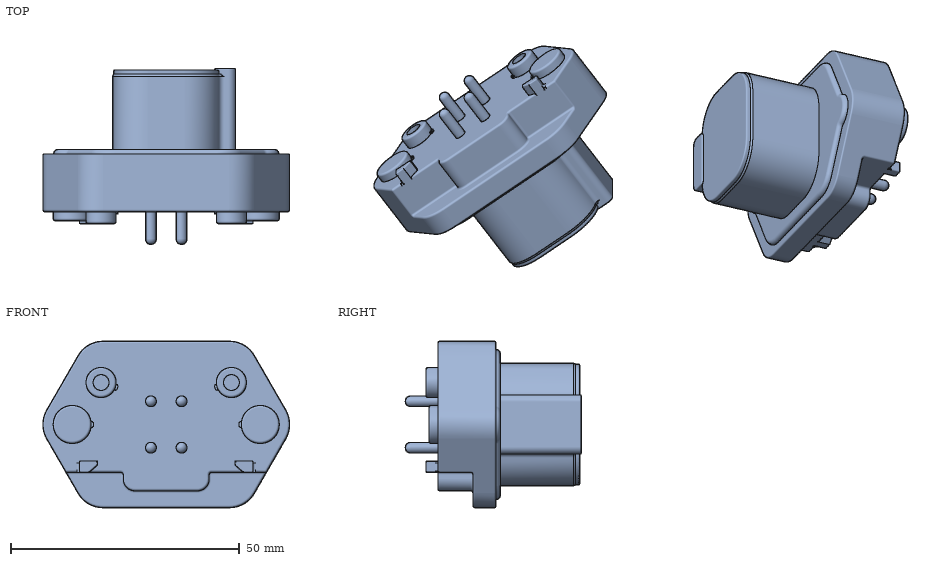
import cadquery as cq
import math

BODY_DEPTH = 12.7
FLANGE_FRONT = 7.7
LIP_BACK = 13.7
SHOULDER_START = 29.7
NECK_START = 30.2
NECK_BACK = 31.1
KEY_BACK = 31.45
OVERLAP = 0.55
SEARCH = 0.55

HEX_ANGLE = math.radians(60)
BODY_WIDTH = 54.1
BODY_HEIGHT = 36.5
BODY_CORNER = 6.35
FRONT_EDGE_RADIUS = 0.5
BACK_EDGE_RADIUS = 0.3

STEP_Z = -10.5
TONGUE_BOTTOM = -14.55
TONGUE_HALF_WIDTH = 9.4
TONGUE_CORNER = 2.6
STEP_CORNER = 0.55
STEP_FLOOR_RADIUS = 0.5

LIP_HEIGHT = 32.9
LIP_TIP = 24.1
LIP_CORNER = 5.75
LIP_LOBE_RADIUS = 4.05
LIP_BLEND = 1.35
LIP_EDGE_RADIUS = 0.9

SHELL_WIDTH = 23.55
SHELL_HEIGHT = 26.95
SHELL_CORNER = 7.7
NECK_INSET = 0.2
NECK_EDGE_RADIUS = 0.3
KEY_INNER_X = 10.6
KEY_OUTER_X = 15.2
KEY_HALF_HEIGHT = 6.5
KEY_OUTER_CORNER = 1.5
KEY_INNER_CORNER = 1.0
KEY_BLEND = 1.15
KEY_EDGE_RADIUS = 0.25

BIG_FOOT_X = 20.6
BIG_FOOT_RADIUS = 4.15
BIG_FOOT_HEIGHT = 1.95
SMALL_FOOT_X = 14.3
SMALL_FOOT_Z = 9.2
SMALL_FOOT_RADIUS = 3.3
SMALL_FOOT_HEIGHT = 2.6
SMALL_FOOT_TAB_ANGLE = -18.0
FOOT_EDGE_RADIUS = 0.5
BORE_RADIUS = 1.75
BORE_DEPTH = 1.45
TAB_WIDTH = 1.3
TAB_REACH = 0.5
TAB_HEIGHT = 0.45

PIN_X = 3.35
PIN_Z = 5.1
PIN_RADIUS = 1.2
PIN_LENGTH = 7.15

HOOK_OUTER_X = 19.05
HOOK_INNER_X = 15.05
HOOK_FOOT_X = 16.9
HOOK_TOP = -8.0
HOOK_NOSE_HEIGHT = 0.85
HOOK_LENGTH = 2.6
HOOK_EDGE = 0.25
HOOK_FLARE = 0.5


def plane_at(y):
    """Plane facing +Y, with local x along -X and local y along +Z."""
    return cq.Workplane("XZ", origin=(0, y, 0)).transformed(rotate=(0, 180, 0))


def both_sides(half):
    return half.union(half.mirror("YZ"))


def edge_zone(x, z, half_width=0.0, half_height=0.0):
    """Selector for what is centred close to (x, z), at any depth along Y."""
    reach_x = half_width + SEARCH
    reach_z = half_height + SEARCH
    corner = (x - reach_x, -BODY_WIDTH, z - reach_z)
    opposite = (x + reach_x, BODY_WIDTH, z + reach_z)
    return cq.selectors.BoxSelector(corner, opposite)


def hexagon(tip, height, corner, start, end):
    """Hexagonal prism whose four top and bottom corners are rounded."""
    z = height / 2
    x = tip - z / math.tan(HEX_ANGLE)
    points = [(tip, 0), (x, z), (-x, z), (-tip, 0), (-x, -z), (x, -z)]
    prism = plane_at(start).polyline(points).close().extrude(end - start)
    return prism.edges("|Y").edges(">Z or <Z").fillet(corner)


def make_step_cutter():
    """Space below the step, to the sides of and under the tongue."""
    half = TONGUE_HALF_WIDTH
    far = BODY_WIDTH
    points = [
        (-far, STEP_Z), (-half, STEP_Z), (-half, TONGUE_BOTTOM), (half, TONGUE_BOTTOM),
        (half, STEP_Z), (far, STEP_Z), (far, -far), (-far, -far),
    ]
    depth = FLANGE_FRONT + OVERLAP
    cutter = plane_at(-OVERLAP).polyline(points).close().extrude(depth)
    low = edge_zone(0, TONGUE_BOTTOM, half)
    high = edge_zone(0, STEP_Z, half)
    cutter = cutter.edges("|Y").edges(low).fillet(TONGUE_CORNER)
    cutter = cutter.edges("|Y").edges(high).fillet(STEP_CORNER)
    return cutter.faces(">Y").edges().fillet(STEP_FLOOR_RADIUS)


def make_body():
    rounding_loss = BODY_CORNER * (1 / math.sin(HEX_ANGLE) - 1)
    tip = BODY_WIDTH / 2 + rounding_loss
    body = hexagon(tip, BODY_HEIGHT, BODY_CORNER, 0, BODY_DEPTH)
    body = body.edges("|Y").edges(">X or <X").fillet(BODY_CORNER)
    body = body.faces(">Y").edges().fillet(BACK_EDGE_RADIUS)
    body = body.cut(make_step_cutter())
    flange_edge = body.faces("<Z").edges("<Y")
    return body.faces("<Y").edges().add(flange_edge).fillet(FRONT_EDGE_RADIUS)


def make_lip():
    start = BODY_DEPTH - OVERLAP
    lip = hexagon(LIP_TIP, LIP_HEIGHT, LIP_CORNER, start, LIP_BACK)
    lobes = plane_at(start).pushPoints([(-BIG_FOOT_X, 0), (BIG_FOOT_X, 0)])
    lip = lip.union(lobes.circle(LIP_LOBE_RADIUS).extrude(LIP_BACK - start))
    for x in (-BIG_FOOT_X, BIG_FOOT_X):
        lobe_joints = edge_zone(x, 0, LIP_LOBE_RADIUS / 2, LIP_LOBE_RADIUS)
        lip = lip.edges("|Y").edges(lobe_joints).fillet(LIP_BLEND)
    return lip.faces(">Y").edges().fillet(LIP_EDGE_RADIUS)


def make_key(back):
    """Key rib along the shell, from the body to the given Y level."""
    key = plane_at(BODY_DEPTH).center(-(KEY_INNER_X + KEY_OUTER_X) / 2, 0)
    key = key.rect(KEY_OUTER_X - KEY_INNER_X, 2 * KEY_HALF_HEIGHT).extrude(back - BODY_DEPTH)
    key = key.edges("|Y and >X").fillet(KEY_OUTER_CORNER)
    return key.edges("|Y and <X").fillet(KEY_INNER_CORNER)


def make_shell():
    shell = plane_at(BODY_DEPTH).rect(SHELL_WIDTH, SHELL_HEIGHT)
    shell = shell.extrude(SHOULDER_START - BODY_DEPTH).edges("|Y").fillet(SHELL_CORNER)
    keyed = shell.union(make_key(SHOULDER_START))
    key_joints = edge_zone(SHELL_WIDTH / 2, 0, half_height=KEY_HALF_HEIGHT)
    keyed = keyed.edges("|Y").edges(key_joints).fillet(KEY_BLEND)

    shoulder_rise = NECK_START - SHOULDER_START
    shoulder_slope = math.degrees(math.atan(NECK_INSET / shoulder_rise))
    shoulder = keyed.faces(">Y").wires().toPending().workplane()
    keyed = shoulder.extrude(shoulder_rise, taper=shoulder_slope)

    neck = plane_at(SHOULDER_START)
    neck = neck.rect(SHELL_WIDTH - 2 * NECK_INSET, SHELL_HEIGHT - 2 * NECK_INSET)
    neck = neck.extrude(NECK_BACK - SHOULDER_START).edges("|Y").fillet(SHELL_CORNER - NECK_INSET)
    neck = neck.faces(">Y").edges().fillet(NECK_EDGE_RADIUS)
    key = make_key(KEY_BACK).faces(">Y").edges().fillet(KEY_EDGE_RADIUS)
    return keyed.union(neck).union(key)


def make_foot(x, z, radius, height, tab_angle):
    """Round foot with a low locating tab on its rim."""
    foot = plane_at(-height).center(-x, z).circle(radius).extrude(height + OVERLAP)
    foot = foot.faces("<Y").edges().fillet(FOOT_EDGE_RADIUS)
    reach = radius + TAB_REACH
    tab = cq.Workplane().box(reach, TAB_HEIGHT + OVERLAP, TAB_WIDTH, centered=(False, False, True))
    tab = tab.edges("|Y and >X").chamfer(TAB_REACH / 2)
    tab = tab.rotate((0, 0, 0), (0, 1, 0), -tab_angle).translate((x, -TAB_HEIGHT, z))
    return foot.union(tab)


def make_feet():
    big = make_foot(-BIG_FOOT_X, 0, BIG_FOOT_RADIUS, BIG_FOOT_HEIGHT, 0)
    small = make_foot(
        -SMALL_FOOT_X, SMALL_FOOT_Z, SMALL_FOOT_RADIUS, SMALL_FOOT_HEIGHT, SMALL_FOOT_TAB_ANGLE
    )
    bore = plane_at(-SMALL_FOOT_HEIGHT).center(SMALL_FOOT_X, SMALL_FOOT_Z)
    small = small.cut(bore.circle(BORE_RADIUS).extrude(BORE_DEPTH))
    return both_sides(big.union(small))


def make_pins():
    """Four round pins with hemispherical ends."""
    straight = PIN_LENGTH - PIN_RADIUS
    centres = plane_at(-straight).rect(2 * PIN_X, 2 * PIN_Z, forConstruction=True).vertices()
    pins = centres.circle(PIN_RADIUS).extrude(straight + OVERLAP)
    return pins.union(centres.sphere(PIN_RADIUS))


def make_hooks():
    nose_z = HOOK_TOP - HOOK_NOSE_HEIGHT
    points = [
        (HOOK_OUTER_X, STEP_Z), (HOOK_OUTER_X, HOOK_TOP), (HOOK_INNER_X, HOOK_TOP),
        (HOOK_INNER_X, nose_z), (HOOK_FOOT_X, STEP_Z),
    ]
    hook = plane_at(-HOOK_LENGTH).polyline(points).close().extrude(HOOK_LENGTH + 2 * OVERLAP)
    hook = hook.edges("|Y and <X").fillet(HOOK_EDGE)
    hook = hook.faces("<Y").edges().fillet(HOOK_EDGE)
    flare = (
        cq.Workplane("XY", origin=(-HOOK_OUTER_X, 0, STEP_Z))
        .moveTo(0, OVERLAP)
        .lineTo(0, -HOOK_FLARE)
        .radiusArc((-HOOK_FLARE, 0), -HOOK_FLARE)
        .lineTo(-HOOK_FLARE, OVERLAP)
        .close()
        .extrude(HOOK_TOP - STEP_Z - HOOK_FLARE)
    )
    return both_sides(hook.union(flare))


result = make_body().union(make_lip()).union(make_shell())
result = result.union(make_feet()).union(make_pins()).union(make_hooks())